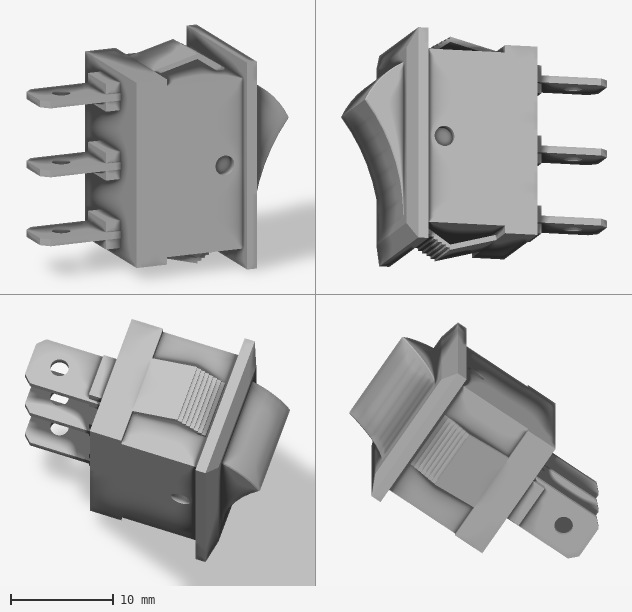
import cadquery as cq
import math


BEZEL_WIDTH = 15.0
BEZEL_HEIGHT = 21.0
BEZEL_RIM = 1.05
BEZEL_THICKNESS = 1.8
BEZEL_BEVEL_INSET = 1.75

BODY_WIDTH = 12.75
BODY_HEIGHT = 17.3
BODY_DEPTH = 11.3
SHOULDER_HEIGHT = 18.8
SHOULDER_DEPTH = 3.25
BODY_BACK = -BODY_DEPTH
SHOULDER_FRONT = BODY_BACK + SHOULDER_DEPTH

PIVOT_Y = -1.9
PIVOT_HOLE_DIAMETER = 2.0
PIVOT_HOLE_DEPTH = 0.95

ROCKER_WIDTH = 9.35
ROCKER_RADIUS = 8.4
ROCKER_TIP_Y = 5.69
ROCKER_LOW_END_Z = -7.8
ROCKER_EDGE_CHAMFER = 0.1

CLIP_WIDTH = 6.0
CLIP_PEAK_Y = -3.37
CLIP_OVERALL_HEIGHT = 21.3
CLIP_PEAK_Z = CLIP_OVERALL_HEIGHT / 2
CLIP_STEPS = 7
CLIP_STEP_LENGTH = 0.415
CLIP_STEP_RISE = 0.245
CLIP_WALL = 0.53
CLIP_ROOT_Z = 9.43
CLIP_FOOT_LENGTH = 0.75

TERMINAL_PITCH = 7.0
TERMINAL_WIDTH = 5.0
TERMINAL_LENGTH = 8.3
TERMINAL_THICKNESS = 0.7
TERMINAL_CHAMFER = 0.8
TERMINAL_HOLE_DIAMETER = 1.8
TERMINAL_HOLE_FROM_TIP = 3.0
GUIDE_WIDTH = 4.5
GUIDE_LENGTH = 1.5
GUIDE_THICKNESS = 1.0
GUIDE_GAP = 0.05
TERMINAL_TIP = BODY_BACK - TERMINAL_LENGTH


def block(width, height, y_back, y_front, z_center=0.0):
    """Box centred on x = 0, reaching from y_back to y_front."""
    depth = y_front - y_back
    return cq.Workplane("XY").box(width, depth, height).translate((0, y_back + depth / 2, z_center))


def extrude_side_profile(profile, width):
    """Extrude a YZ profile equally to both sides of x = 0."""
    return profile.close().extrude(width).translate((-width / 2, 0, 0))


def make_bezel():
    rim = block(BEZEL_WIDTH, BEZEL_HEIGHT, 0, BEZEL_RIM)
    bevel = (
        cq.Workplane("XZ", origin=(0, BEZEL_RIM, 0))
        .rect(BEZEL_WIDTH, BEZEL_HEIGHT)
        .workplane(offset=BEZEL_RIM - BEZEL_THICKNESS)
        .rect(BEZEL_WIDTH - 2 * BEZEL_BEVEL_INSET, BEZEL_HEIGHT - 2 * BEZEL_BEVEL_INSET)
        .loft(ruled=True)
    )
    return rim.union(bevel)


def make_housing():
    body = block(BODY_WIDTH, BODY_HEIGHT, BODY_BACK, 0)
    shoulder = block(BODY_WIDTH, SHOULDER_HEIGHT, BODY_BACK, SHOULDER_FRONT)
    return body.union(shoulder)


def make_rocker():
    """Crest arc about the pivot and a hollow arc that runs out flat on the bezel front."""
    front = BEZEL_THICKNESS
    tip_angle = math.acos((ROCKER_TIP_Y - PIVOT_Y) / ROCKER_RADIUS)
    crest_end_angle = math.acos((front - PIVOT_Y) / ROCKER_RADIUS)

    def crest_point(angle):
        return (PIVOT_Y + ROCKER_RADIUS * math.cos(angle), ROCKER_RADIUS * math.sin(angle))

    tip = crest_point(tip_angle)
    rise = tip[0] - front
    run = tip[1] - ROCKER_LOW_END_Z
    hollow_radius = (run**2 + rise**2) / (2 * rise)
    half_angle = math.atan2(rise, run)
    hollow_middle = (
        front + hollow_radius * (1 - math.cos(half_angle)),
        ROCKER_LOW_END_Z + hollow_radius * math.sin(half_angle),
    )
    profile = (
        cq.Workplane("YZ")
        .moveTo(front, ROCKER_LOW_END_Z)
        .threePointArc(hollow_middle, tip)
        .threePointArc(crest_point((tip_angle + crest_end_angle) / 2), crest_point(crest_end_angle))
        .lineTo(0, crest_point(crest_end_angle)[1])
        .lineTo(0, ROCKER_LOW_END_Z)
    )
    rocker = extrude_side_profile(profile, ROCKER_WIDTH)
    return rocker.faces("<X or >X").edges().chamfer(ROCKER_EDGE_CHAMFER)


def make_upper_clip():
    """Bent spring strip with a staircase on its front slope."""
    foot_z = BODY_HEIGHT / 2
    first_y = CLIP_PEAK_Y + CLIP_STEPS * CLIP_STEP_LENGTH
    profile = (
        cq.Workplane("YZ")
        .moveTo(SHOULDER_FRONT, CLIP_ROOT_Z - CLIP_WALL)
        .lineTo(SHOULDER_FRONT, CLIP_ROOT_Z)
        .lineTo(CLIP_PEAK_Y, CLIP_PEAK_Z)
    )
    for step in range(1, CLIP_STEPS + 1):
        tread_z = CLIP_PEAK_Z - step * CLIP_STEP_RISE
        profile = profile.vLineTo(tread_z).hLine(CLIP_STEP_LENGTH)
    profile = (
        profile.vLineTo(foot_z)
        .lineTo(first_y - CLIP_FOOT_LENGTH, foot_z)
        .lineTo(CLIP_PEAK_Y, CLIP_PEAK_Z - CLIP_WALL)
    )
    return extrude_side_profile(profile, CLIP_WIDTH)


def make_terminal(z_center):
    """Drilled blade between two guide blocks."""
    blade = (
        block(TERMINAL_WIDTH, TERMINAL_THICKNESS, TERMINAL_TIP, BODY_BACK)
        .edges("|Z and <Y")
        .chamfer(TERMINAL_CHAMFER)
    )
    hole = (
        cq.Workplane("XY", origin=(0, 0, -TERMINAL_THICKNESS / 2))
        .center(0, TERMINAL_TIP + TERMINAL_HOLE_FROM_TIP)
        .circle(TERMINAL_HOLE_DIAMETER / 2)
        .extrude(TERMINAL_THICKNESS)
    )
    terminal = blade.cut(hole)
    guide_z = TERMINAL_THICKNESS / 2 + GUIDE_GAP + GUIDE_THICKNESS / 2
    for side in (-1, 1):
        guide = block(GUIDE_WIDTH, GUIDE_THICKNESS, BODY_BACK - GUIDE_LENGTH, BODY_BACK, side * guide_z)
        terminal = terminal.union(guide)
    return terminal.translate((0, 0, z_center))


def make_pivot_holes():
    """Blind pivot holes in both side walls."""
    pin = cq.Workplane("YZ").center(PIVOT_Y, 0).circle(PIVOT_HOLE_DIAMETER / 2).extrude(PIVOT_HOLE_DEPTH)
    right_hole = pin.translate((BODY_WIDTH / 2 - PIVOT_HOLE_DEPTH, 0, 0))
    return right_hole.union(right_hole.mirror("YZ"))


upper_clip = make_upper_clip()
result = make_housing().union(make_bezel()).union(make_rocker())
result = result.union(upper_clip).union(upper_clip.mirror("XY"))
for position in (-1, 0, 1):
    result = result.union(make_terminal(position * TERMINAL_PITCH))
result = result.cut(make_pivot_holes())